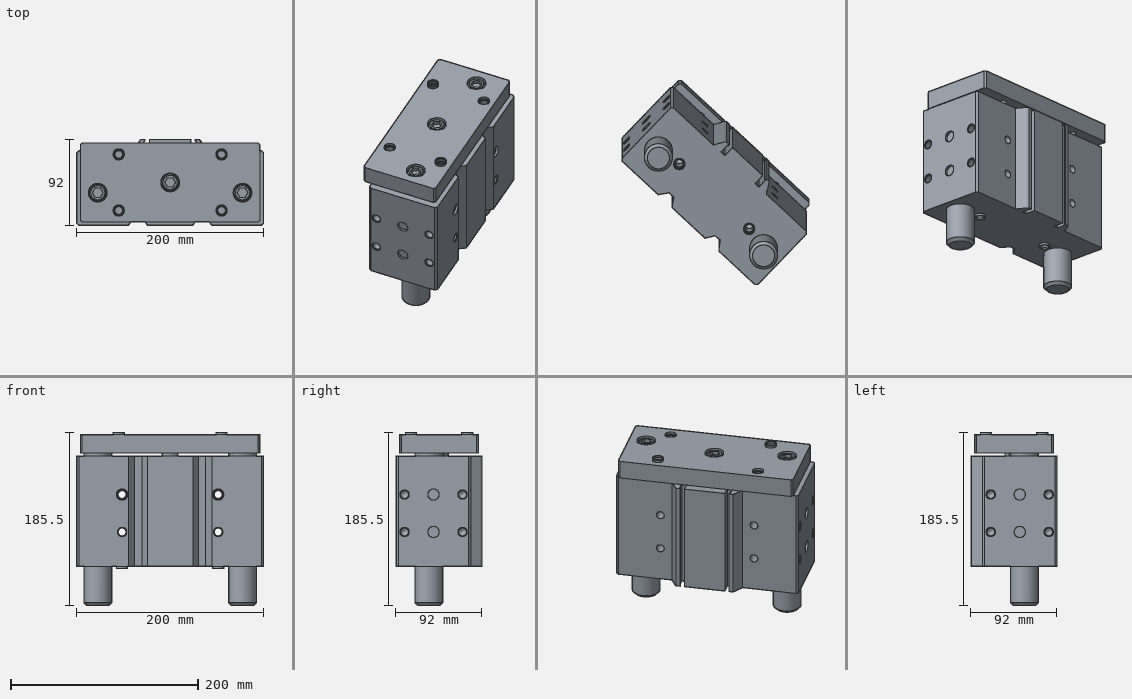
import cadquery as cq
import math


housing_width = 200.0
housing_depth = 92.0
housing_height = 118.0
front_y = -housing_depth / 2
back_y = housing_depth / 2
shoulder_y = 34.0
corner_chamfer = 2.5

groove_outer_x = 44.5
groove_inner_x = 24.2
groove_outer_run = 6.5
groove_inner_run = 6.0
groove_flank_depth = 9.0
groove_floor_step = 0.5

rail_half_width = 32.8
rail_flank_angle = 30.0
rail_chamfer = 1.5
slot_outer_x = 26.8
slot_inner_x = 22.2
slot_lip = 1.8
slot_undercut = 1.0

plate_width = 192.0
plate_depth = 84.5
plate_thickness = 20.0
plate_chamfer = 2.0
plate_gap = 3.0
plate_bottom_z = housing_height + plate_gap
plate_top_z = plate_bottom_z + plate_thickness

rod_diameter = 30.0
rod_x = 77.5
rod_y = -11.0
rod_overhang = 42.0
rod_chamfer = 3.2

piston_rod_diameter = 20.0
piston_rod_flats = 17.0
piston_rod_insertion = 80.0

screw_diameter = 12.0
head_diameter = 18.0
head_height = 12.0
head_chamfer = 1.5
counterbore_diameter = 20.0
counterbore_depth = 13.0
socket_size = 10.0
socket_depth = 4.0
hexagon_sides = 6
head_seat_z = plate_top_z - counterbore_depth

thread_diameter = 8.5
thread_mouth_diameter = 10.0
thread_depth = 20.0
drill_tip_angle = 118.0
recess_diameter = 12.0
recess_depth = 2.5

sleeve_bore = 10.0
sleeve_protrusion = 2.5
sleeve_length = recess_depth + sleeve_protrusion

plate_hole_x = 55.0
plate_hole_y = 30.0
sleeve_plate_points = [(-plate_hole_x, -plate_hole_y), (plate_hole_x, plate_hole_y)]
front_hole_x = 51.5
lower_hole_z = 36.8
hole_row_spacing = 40.0
upper_hole_z = lower_hole_z + hole_row_spacing
side_centre_y = (front_y + shoulder_y) / 2
side_hole_offset = 31.0
bottom_sleeve_points = [(-front_hole_x, side_centre_y), (front_hole_x, side_centre_y)]

X_AXIS = cq.Vector(1, 0, 0)
Y_AXIS = cq.Vector(0, 1, 0)
Z_AXIS = cq.Vector(0, 0, 1)


def cylinder(start, direction, diameter, depth):
    """Solid cylinder from a point along a direction, for bores and shafts alike."""
    return cq.Workplane(obj=cq.Solid.makeCylinder(diameter / 2, depth, start, direction))


def thread_mouth(start, direction):
    """Conical lead-in that narrows from the mouth diameter to the thread diameter at 45 degrees."""
    mouth_radius = thread_mouth_diameter / 2
    thread_radius = thread_diameter / 2
    cone = cq.Solid.makeCone(mouth_radius, thread_radius, mouth_radius - thread_radius, start, direction)
    return cq.Workplane(obj=cone)


def blind_thread(start, direction):
    """Blind threaded hole with a lead-in and a drill-point bottom."""
    radius = thread_diameter / 2
    tip_length = radius / math.tan(math.radians(drill_tip_angle / 2))
    tip = cq.Solid.makeCone(radius, 0, tip_length, start + direction * thread_depth, direction)
    hole = cylinder(start, direction, thread_diameter, thread_depth).union(cq.Workplane(obj=tip))
    return hole.union(thread_mouth(start, direction))


def recessed_mouth(start, direction):
    """Locating recess with the lead-in of the threaded hole in its floor."""
    recess = cylinder(start, direction, recess_diameter, recess_depth)
    return recess.union(thread_mouth(start + direction * recess_depth, direction))


def housing_profile():
    """Outline points, mirrored about X = 0, with front grooves and the rear rail."""
    side_x = housing_width / 2
    flank_end_y = front_y + groove_flank_depth
    groove_floor_y = flank_end_y + groove_floor_step
    rail_flank_run = (back_y - rail_chamfer - shoulder_y) * math.tan(math.radians(rail_flank_angle))
    slot_wall_x = slot_outer_x + slot_undercut
    right_half = [
        (groove_inner_x, front_y),
        (groove_inner_x + groove_inner_run, flank_end_y),
        (groove_inner_x + groove_inner_run, groove_floor_y),
        (groove_outer_x - groove_outer_run, groove_floor_y),
        (groove_outer_x - groove_outer_run, flank_end_y),
        (groove_outer_x, front_y),
        (side_x - corner_chamfer, front_y),
        (side_x, front_y + corner_chamfer),
        (side_x, shoulder_y - corner_chamfer),
        (side_x - corner_chamfer, shoulder_y),
        (rail_half_width + rail_flank_run, shoulder_y),
        (rail_half_width, back_y - rail_chamfer),
        (rail_half_width - rail_chamfer, back_y),
        (slot_outer_x, back_y),
        (slot_outer_x, back_y - slot_lip),
        (slot_wall_x, back_y - slot_lip),
        (slot_wall_x, shoulder_y),
        (slot_inner_x, shoulder_y),
        (slot_inner_x, back_y),
    ]
    left_half = [(-x, y) for x, y in reversed(right_half)]
    return right_half + left_half


def make_housing():
    """Extruded body with rod bores, mounting holes and locating recesses."""
    body = cq.Workplane("XY").polyline(housing_profile()).close().extrude(housing_height)

    for x in (-rod_x, rod_x):
        body = body.cut(cylinder(cq.Vector(x, rod_y, 0), Z_AXIS, rod_diameter, housing_height))
    piston_bore_start = cq.Vector(0, 0, housing_height)
    body = body.cut(cylinder(piston_bore_start, -Z_AXIS, piston_rod_diameter, piston_rod_insertion))

    for x in (-front_hole_x, front_hole_x):
        for z in (lower_hole_z, upper_hole_z):
            body = body.cut(cylinder(cq.Vector(x, front_y, z), Y_AXIS, thread_diameter, housing_depth))
        body = body.cut(thread_mouth(cq.Vector(x, front_y, lower_hole_z), Y_AXIS))
        body = body.cut(recessed_mouth(cq.Vector(x, front_y, upper_hole_z), Y_AXIS))

    for side in (-1, 1):
        inward = X_AXIS * -side
        for z in (lower_hole_z, upper_hole_z):
            centre = cq.Vector(side * housing_width / 2, side_centre_y, z)
            body = body.cut(cylinder(centre, inward, recess_diameter, recess_depth))
            for offset in (-side_hole_offset, side_hole_offset):
                body = body.cut(blind_thread(centre + Y_AXIS * offset, inward))

    for x, y in bottom_sleeve_points:
        mouth = cq.Vector(x, y, 0)
        body = body.cut(cylinder(mouth, Z_AXIS, recess_diameter, recess_depth))
        body = body.cut(blind_thread(mouth + Z_AXIS * recess_depth, Z_AXIS))
    return body


def screw_head(x, y):
    """Chamfered socket head that stands on the counterbore floor."""
    head = cq.Workplane("XY", origin=(x, y, head_seat_z)).circle(head_diameter / 2).extrude(head_height)
    head = head.faces(">Z").chamfer(head_chamfer)
    corner_diameter = socket_size / math.cos(math.pi / hexagon_sides)
    socket = (
        cq.Workplane("XY", origin=(x, y, head_seat_z + head_height - socket_depth))
        .polygon(hexagon_sides, corner_diameter)
        .extrude(socket_depth)
    )
    return head.cut(socket)


def make_piston_rod():
    """Rod between the housing and the plate, with two wrench flats where it is exposed."""
    shaft_start = cq.Vector(0, 0, housing_height - piston_rod_insertion)
    shaft = cylinder(shaft_start, Z_AXIS, piston_rod_diameter, piston_rod_insertion)
    neck = cylinder(cq.Vector(0, 0, housing_height), Z_AXIS, piston_rod_diameter, plate_gap)
    flats = (
        cq.Workplane("XY", origin=(0, 0, housing_height))
        .rect(piston_rod_flats, piston_rod_diameter)
        .extrude(plate_gap)
    )
    return shaft.union(neck.intersect(flats))


def make_yoke():
    """Plate in one piece with the piston rod and its screw head."""
    plate = (
        cq.Workplane("XY", origin=(0, 0, plate_bottom_z))
        .rect(plate_width, plate_depth)
        .extrude(plate_thickness)
        .edges("|Z")
        .chamfer(plate_chamfer)
    )

    for x, y in [(-rod_x, rod_y), (0, 0), (rod_x, rod_y)]:
        seat = cq.Vector(x, y, head_seat_z)
        plate = plate.cut(cylinder(seat, Z_AXIS, counterbore_diameter, counterbore_depth))
    for x in (-rod_x, rod_x):
        underside = cq.Vector(x, rod_y, plate_bottom_z)
        plate = plate.cut(cylinder(underside, Z_AXIS, screw_diameter, plate_thickness))

    for x in (-plate_hole_x, plate_hole_x):
        for y in (-plate_hole_y, plate_hole_y):
            underside = cq.Vector(x, y, plate_bottom_z)
            plate = plate.cut(cylinder(underside, Z_AXIS, thread_diameter, plate_thickness))
            plate = plate.cut(recessed_mouth(cq.Vector(x, y, plate_top_z), -Z_AXIS))
    return plate.union(make_piston_rod()).union(screw_head(0, 0))


def make_guide_rod(x):
    """Guide rod with the screw that holds it to the plate."""
    rod = (
        cq.Workplane("XY", origin=(x, rod_y, -rod_overhang))
        .circle(rod_diameter / 2)
        .extrude(rod_overhang + plate_bottom_z)
        .faces("<Z")
        .chamfer(rod_chamfer)
    )
    neck = cylinder(cq.Vector(x, rod_y, plate_bottom_z), Z_AXIS, screw_diameter, head_seat_z - plate_bottom_z)
    return rod.union(neck).union(screw_head(x, rod_y))


def make_sleeve(x, y, base_z):
    """Centring sleeve, half sunk in a locating recess."""
    return (
        cq.Workplane("XY", origin=(x, y, base_z))
        .circle(recess_diameter / 2)
        .circle(sleeve_bore / 2)
        .extrude(sleeve_length)
    )


housing = make_housing()
yoke = make_yoke()
guide_rods = [make_guide_rod(x) for x in (-rod_x, rod_x)]
plate_sleeves = [make_sleeve(x, y, plate_top_z - recess_depth) for x, y in sleeve_plate_points]
bottom_sleeves = [make_sleeve(x, y, -sleeve_protrusion) for x, y in bottom_sleeve_points]

bodies = [housing, yoke, *guide_rods, *plate_sleeves, *bottom_sleeves]
result = cq.Compound.makeCompound([body.val() for body in bodies])